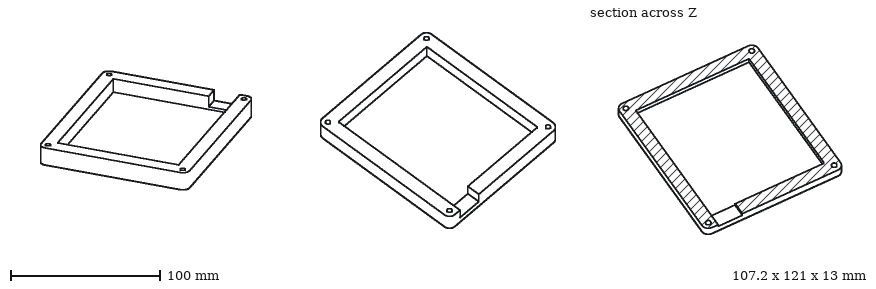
import cadquery as cq

width = 107.25
length = 121.0
height = 13.0
corner_radius = 5.0

wall = 10.0
floor_thickness = 3.0
pocket_width = width - 2 * wall
pocket_length = length - 2 * wall

notch_width = 18.5
notch_floor = 5.0

screw_hole_diameter = 3.4
screw_inset = corner_radius


def tray_body():
    """Rounded block standing on Z = 0."""
    block = cq.Workplane("XY").box(width, length, height, centered=(True, True, False))
    return block.edges("|Z").fillet(corner_radius)


def pocket():
    """Rectangular recess that leaves the walls and the floor."""
    depth = height - floor_thickness
    return (
        cq.Workplane("XY", origin=(0, 0, floor_thickness))
        .rect(pocket_width, pocket_length)
        .extrude(depth)
    )


def rear_notch():
    """Cable opening cut from the top across the full rear wall."""
    center_x = (pocket_width - notch_width) / 2
    center_y = (length - wall) / 2
    return (
        cq.Workplane("XY", origin=(center_x, center_y, notch_floor))
        .rect(notch_width, wall)
        .extrude(height - notch_floor)
    )


def screw_holes():
    """Four through holes, one in each corner."""
    return (
        cq.Workplane("XY")
        .rect(width - 2 * screw_inset, length - 2 * screw_inset, forConstruction=True)
        .vertices()
        .circle(screw_hole_diameter / 2)
        .extrude(height)
    )


result = tray_body().cut(pocket()).cut(rear_notch()).cut(screw_holes())